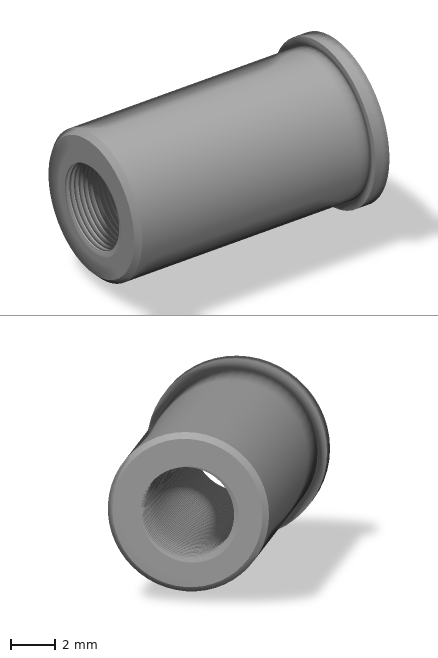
import cadquery as cq
import math

length = 13.46
flange_diameter = 8.26
flange_thickness = 0.77
body_diameter = 7.39
end_chamfer = 0.25

bore_diameter = 4.25
thread_depth = 0.25
thread_turns = 54
thread_pitch = length / thread_turns
crest_flat = thread_pitch / 4
root_flat = thread_pitch / 8
thread_end_angle = -30.0

groove_overlap = 0.03
run_out_turns = 1.5
turns_per_run = 10
core_overhang = 5.38

bore_radius = bore_diameter / 2


def cylinder(diameter, start, end):
    """Solid cylinder on the sleeve axis between two places along Y."""
    return cq.Workplane("XZ", origin=(0, end, 0)).circle(diameter / 2).extrude(end - start)


def make_blank():
    """Flanged solid pin with a chamfered plain end."""
    body = cylinder(body_diameter, 0, length).faces("<Y").chamfer(end_chamfer)
    flange = cylinder(flange_diameter, length - flange_thickness, length)
    return body.union(flange)


def make_groove():
    """Solid filling the helical groove, running out past both ends of the bore."""
    bore_half_width = (thread_pitch - crest_flat) / 2
    root_half_width = root_flat / 2
    flank_slope = (bore_half_width - root_half_width) / thread_depth
    inner_half_width = bore_half_width + groove_overlap * flank_slope
    inner_radius = bore_radius - groove_overlap
    root_radius = bore_radius + thread_depth

    start = -run_out_turns * thread_pitch
    run_length = turns_per_run * thread_pitch
    run_count = math.ceil((length - 2 * start) / run_length)
    run_bases = [cq.Vector(0, 0, start + i * run_length) for i in range(run_count)]
    runs = [cq.Wire.makeHelix(thread_pitch, run_length, inner_radius, base) for base in run_bases]
    helix = cq.Wire.combine(runs)[0]
    groove = (
        cq.Workplane("XZ")
        .polyline(
            [
                (inner_radius, start - inner_half_width),
                (root_radius, start - root_half_width),
                (root_radius, start + root_half_width),
                (inner_radius, start + inner_half_width),
            ]
        )
        .close()
        .sweep(cq.Workplane(obj=helix), isFrenet=True)
    )
    spin = 360 * run_out_turns - thread_end_angle
    lying_groove = groove.rotate((0, 0, 0), (1, 0, 0), -90)
    return lying_groove.rotate((0, 0, 0), (0, 1, 0), spin)


def make_threaded_core():
    """Threaded rod in the shape of the tapped bore, longer than the sleeve."""
    rod = cylinder(bore_diameter, -core_overhang, length + core_overhang)
    return rod.union(make_groove())


result = make_blank().cut(make_threaded_core())